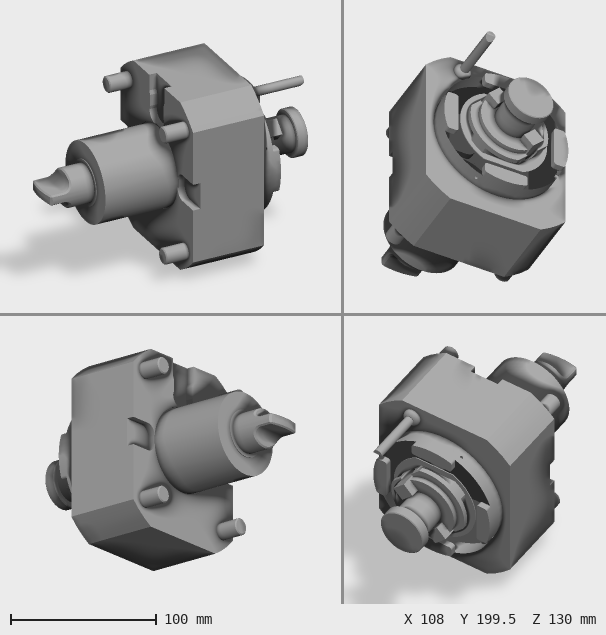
import cadquery as cq
import math


housing_width = 108.0
housing_height = 130.0
housing_depth = 55.0
corner_radius = 73.8

shank_dia = 59.7
shank_end_y = -55.3
groove_dia = 61.8
groove_depth = 1.0

spindle_collar_dia = 34.0
spindle_collar_length = 0.5
spindle_dia = 28.5
tang_tip_y = -91.0
tang_shoulder_y = -73.0
tang_thickness = 7.8
tang_root_radius = 6.2
tang_tip_radius = 51.9
tang_corner_chamfer = 1.4
tang_edge_chamfer = 1.0

slot_depth = 5.5
slot_end = 30.7
side_slot_width = 20.0
side_slot_corner = 7.5
top_slot_mouth_width = 22.3
top_slot_neck_width = 20.0
top_slot_end_width = 21.5
top_slot_end_flat = 4.4
top_slot_mouth_z = 52.9
top_slot_neck_z = 49.9
top_slot_bulge_z = 41.3
top_slot_corner_z = 38.5

screw_dia = 12.0
screw_length = 17.4
screw_chamfer = 0.8
screw_x = 41.9
screw_z = 47.0

flange_dia = 96.0
flange_face_y = 66.6
lug_top_y = 71.2
lug_width = 33.0
lug_inner_distance = 37.0
lug_corner_radius = 2.0
flange_pad_dia = 67.2
flange_pad_height = 60.0
flange_pad_y = 67.2
index_hole_dia = 2.2
index_hole_depth = 2.0
index_hole_y = 61.5
index_hole_angle = 22.5

disc_dia = 60.0
hub_square = 49.9
disc_front_y = 72.2
disc_rear_y = 75.8
small_disc_dia = 47.9
small_disc_rear_y = 79.6
disc_flat_distance = 25.5
neck_dia = 27.0
knob_dia = 35.0
knob_front_y = 100.5
knob_rear_y = 108.5
knob_chamfer = 0.5

tongue_width = 12.0
tongue_inner_distance = 14.2
tongue_outer_distance = 24.3
tongue_rear_y = 86.2
tongue_angle = 45.0

pipe_dia = 7.0
pipe_x = 26.1
pipe_z = 54.0
pipe_end_y = 98.8
pipe_bevel = 3.4
seat_base_radius = 6.4
seat_top_radius = 4.0
seat_height = 4.4
seat_bulge = 1.0

margin = 1.0


def plane_at(y):
    """XZ plane at position y whose normal points to +Y; its local y axis is -Z."""
    return cq.Workplane(cq.Plane((0, y, 0), xDir=(1, 0, 0), normal=(0, 1, 0)))


def cylinder(diameter, y_start, y_end):
    return plane_at(y_start).circle(diameter / 2).extrude(y_end - y_start)


def block(width, height, y_start, y_end):
    return plane_at(y_start).rect(width, height).extrude(y_end - y_start)


def turn(body, angle):
    """Rotate a body about the main axis."""
    return body.rotate((0, 0, 0), (0, 1, 0), angle)


def make_housing():
    body = block(housing_width, housing_height, 0, housing_depth)
    return body.intersect(cylinder(2 * corner_radius, 0, housing_depth))


def make_side_slot():
    """Slot open on the +X side with two rounded inner corners."""
    length = housing_width / 2 - slot_end
    slot = block(length, side_slot_width, 0, slot_depth).translate((slot_end + length / 2, 0, 0))
    return slot.edges("|Y and <X").fillet(side_slot_corner)


def make_top_slot():
    """Slot open at the top: wide mouth, narrower neck and a rounded inner end."""
    mouth = top_slot_mouth_width / 2
    neck = top_slot_neck_width / 2
    bulge = top_slot_end_width / 2
    flat = top_slot_end_flat / 2
    arc_x = flat + (bulge - flat) * math.sin(math.radians(45))
    arc_z = top_slot_corner_z - (top_slot_corner_z - slot_end) * math.sin(math.radians(45))
    right_half = (
        cq.Workplane("XZ")
        .moveTo(0, housing_height / 2)
        .lineTo(mouth, housing_height / 2)
        .lineTo(mouth, top_slot_mouth_z)
        .lineTo(neck, top_slot_neck_z)
        .lineTo(neck, top_slot_bulge_z)
        .lineTo(bulge, top_slot_corner_z)
        .threePointArc((arc_x, arc_z), (flat, slot_end))
        .lineTo(0, slot_end)
        .close()
        .extrude(-slot_depth)
    )
    return right_half.union(right_half.mirror("YZ"))


def make_spindle():
    """Round spindle that ends in a flat tang with an arched tip."""
    radius = spindle_dia / 2
    half = tang_thickness / 2
    root = tang_root_radius
    tip_half = radius - tang_corner_chamfer
    tip_edge_y = tang_tip_y + tang_tip_radius - math.sqrt(tang_tip_radius**2 - tip_half**2)
    corner_y = tip_edge_y + tang_corner_chamfer
    outline = (
        cq.Workplane("XY")
        .moveTo(-radius, shank_end_y)
        .lineTo(-radius, corner_y)
        .lineTo(-tip_half, tip_edge_y)
        .threePointArc((0, tang_tip_y), (tip_half, tip_edge_y))
        .lineTo(radius, corner_y)
        .lineTo(radius, shank_end_y)
        .close()
        .extrude(radius, both=True)
    )
    spindle = cylinder(spindle_dia, tang_tip_y, shank_end_y).intersect(outline)
    arc_offset = root * (1 - math.sin(math.radians(45)))
    relief = (
        cq.Workplane("YZ")
        .moveTo(tang_tip_y - margin, half)
        .lineTo(tang_shoulder_y - root, half)
        .threePointArc((tang_shoulder_y - arc_offset, half + arc_offset), (tang_shoulder_y, half + root))
        .lineTo(tang_shoulder_y, radius + margin)
        .lineTo(tang_tip_y - margin, radius + margin)
        .close()
        .extrude(radius + margin, both=True)
    )
    spindle = spindle.cut(relief).cut(relief.mirror("XY"))
    for z_low, z_high in ((half - margin, radius + margin), (-radius - margin, margin - half)):
        rim_space = cq.selectors.BoxSelector(
            (-radius - margin, tang_tip_y - margin, z_low),
            (radius + margin, tang_shoulder_y + margin, z_high),
        )
        rim = spindle.edges(rim_space)
        rim = rim.filter(lambda edge: edge.geomType() == "CIRCLE" or abs(edge.Center().x) > half)
        spindle = rim.chamfer(tang_edge_chamfer)
    return spindle


def make_screw():
    screw = cylinder(screw_dia, -screw_length, 0)
    return screw.faces("<Y").chamfer(screw_chamfer)


def make_lug():
    """Raised lug on the +X side, flush with the flange rim."""
    length = flange_dia / 2 - lug_inner_distance
    lug = block(length, lug_width, flange_face_y, lug_top_y)
    lug = lug.translate((lug_inner_distance + length / 2, 0, 0))
    lug = lug.intersect(cylinder(flange_dia, flange_face_y, lug_top_y))
    return lug.edges("|Y").fillet(lug_corner_radius)


def make_flange():
    """Flange carved down around its four lugs, with a central pad and four index holes."""
    space_between_lugs = cylinder(flange_dia, flange_face_y, lug_top_y)
    lug = make_lug()
    for quarter in range(4):
        space_between_lugs = space_between_lugs.cut(turn(lug, 90 * quarter))
    flange = cylinder(flange_dia, housing_depth, lug_top_y).cut(space_between_lugs)
    pad = cylinder(flange_pad_dia, flange_face_y, flange_pad_y)
    pad = pad.intersect(block(flange_pad_dia, flange_pad_height, flange_face_y, flange_pad_y))
    flange = flange.union(pad)
    index_hole = (
        cq.Workplane("YZ", origin=(flange_dia / 2 - index_hole_depth, index_hole_y, 0))
        .circle(index_hole_dia / 2)
        .extrude(2 * index_hole_depth)
    )
    for quarter in range(4):
        flange = flange.cut(turn(index_hole, 90 * quarter - index_hole_angle))
    return flange


def make_tongue():
    """Driver tongue on the +X side whose front edge is a half circle."""
    half = tongue_width / 2
    return (
        cq.Workplane("YZ", origin=(tongue_inner_distance, 0, 0))
        .moveTo(tongue_rear_y, -half)
        .lineTo(flange_pad_y + half, -half)
        .threePointArc((flange_pad_y, 0), (flange_pad_y + half, half))
        .lineTo(tongue_rear_y, half)
        .close()
        .extrude(tongue_outer_distance - tongue_inner_distance)
    )


def make_hub():
    """Square hub, two discs, neck and knob, with a tongue at each end of one diagonal."""
    hub = cylinder(disc_dia, flange_face_y, disc_front_y)
    hub = hub.intersect(block(hub_square, hub_square, flange_face_y, disc_front_y))
    hub = hub.union(cylinder(disc_dia, disc_front_y, disc_rear_y))
    flats = block(2 * disc_flat_distance, disc_dia, flange_face_y, disc_rear_y)
    hub = hub.intersect(turn(flats, -tongue_angle))
    hub = hub.union(cylinder(small_disc_dia, disc_rear_y, small_disc_rear_y))
    tongue = make_tongue()
    outer_recess = tongue.translate((tongue_outer_distance - tongue_inner_distance, 0, 0))
    for end_angle in (0, 180):
        hub = hub.cut(turn(outer_recess, end_angle - tongue_angle))
        hub = hub.union(turn(tongue, end_angle - tongue_angle))
    hub = hub.union(cylinder(neck_dia, small_disc_rear_y, knob_rear_y))
    knob = cylinder(knob_dia, knob_front_y, knob_rear_y).edges().chamfer(knob_chamfer)
    return hub.union(knob)


def make_pipe():
    """Pipe with a bevelled end, standing on a domed seat."""
    radius = pipe_dia / 2
    pipe = cylinder(pipe_dia, housing_depth, pipe_end_y)
    bevel = (
        cq.Workplane("YZ")
        .moveTo(pipe_end_y, -radius)
        .lineTo(pipe_end_y, pipe_bevel - radius)
        .lineTo(pipe_end_y - pipe_bevel, -radius)
        .close()
        .extrude(radius, both=True)
    )
    seat_top_y = housing_depth + seat_height
    mid_radius = (seat_base_radius + seat_top_radius) / 2 + seat_bulge
    seat = (
        cq.Workplane("XY")
        .moveTo(0, housing_depth)
        .lineTo(seat_base_radius, housing_depth)
        .threePointArc((mid_radius, housing_depth + seat_height / 2), (seat_top_radius, seat_top_y))
        .lineTo(0, seat_top_y)
        .close()
        .revolve(360, (0, 0, 0), (0, 1, 0))
    )
    return pipe.cut(bevel).union(seat).translate((pipe_x, 0, pipe_z))


result = make_housing()

side_slot = make_side_slot()
result = result.cut(side_slot).cut(side_slot.mirror("YZ")).cut(make_top_slot())
result = result.cut(cylinder(groove_dia, 0, groove_depth))
result = result.union(cylinder(shank_dia, shank_end_y, groove_depth))

collar_end_y = shank_end_y - spindle_collar_length
result = result.union(cylinder(spindle_collar_dia, collar_end_y, shank_end_y))
result = result.union(make_spindle())

for x in (-screw_x, screw_x):
    for z in (-screw_z, screw_z):
        result = result.union(make_screw().translate((x, 0, z)))

result = result.union(make_flange()).union(make_hub()).union(make_pipe())